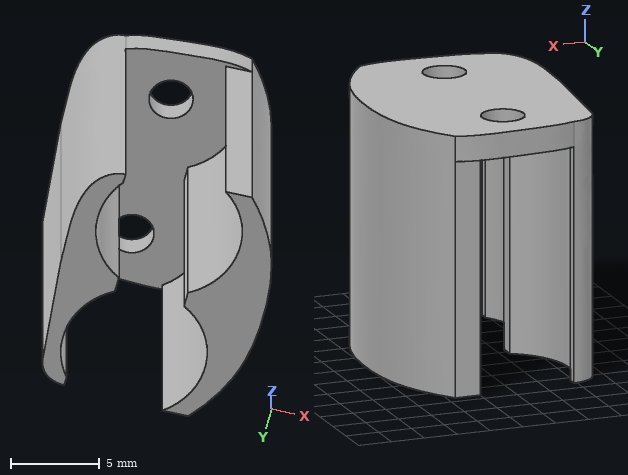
import cadquery as cq

height = 15.5
length = 15.42
width = 12.1
half_width = width / 2

plate_thickness = 1.5
leg_height = height - plate_thickness
leg_end = 7.42

center_x = -0.5
cavity_radius = 4.15
cavity_offset = 4.09
neck_width = 4.03
opening_left = -3.8
wall_tip_y = 7.16

hole_diameter = 2.5
hole_offset = 4.55

corner_x, corner_y = 3.52, leg_end
crown_x, crown_y = 1.47, length / 2
flat_top = (-5.4, 5.89)
flat_bottom = (-5.97, -0.62)


def end_arch(side):
    """Points of one arched end, from the sharp corner to the edge of the opening."""
    points = [
        (corner_x, corner_y),
        (2.77, 7.61),
        (crown_x, crown_y),
        (-0.46, 7.63),
        (-2.31, 7.49),
        (-3.02, 7.38),
        (opening_left, wall_tip_y),
    ]
    return [(x, side * y) for x, y in points]


def outline():
    """Closed profile: bulged +X side, gently arched ends, slightly leaning -X side."""
    upper_bulge = [(4.62, 5.89), (5.53, 3.88)]
    lower_bulge = [(x, -y) for x, y in reversed(upper_bulge)]
    bulge = upper_bulge + [(half_width, 0)] + lower_bulge + [(corner_x, -corner_y)]
    lower_corner = [(-4.55, -6.98), (-5.41, -6.2), (-5.77, -5.42), (-half_width, -3.41), flat_bottom]
    upper_corner = [(-5.27, 6.3), (-5.0, 6.68), (-4.62, 6.96), (opening_left, wall_tip_y)]
    upper_end = end_arch(1)[-2::-1]
    return (
        cq.Workplane("XY")
        .moveTo(corner_x, corner_y)
        .spline(bulge, includeCurrent=True)
        .spline(end_arch(-1)[1:], includeCurrent=True)
        .spline(lower_corner, includeCurrent=True)
        .lineTo(*flat_top)
        .spline(upper_corner, includeCurrent=True)
        .spline(upper_end, includeCurrent=True)
        .close()
    )


def box_below_plate(x_min, x_max, y_min, y_max):
    """Block from the base up to the underside of the plate."""
    return cq.Workplane("XY").box(
        x_max - x_min, y_max - y_min, leg_height, centered=False
    ).translate((x_min, y_min, 0))


def cavity():
    """Everything removed between the two legs."""
    space = box_below_plate(
        center_x - neck_width / 2, center_x + neck_width / 2, -cavity_offset, cavity_offset
    )
    for side in (-1, 1):
        bore = (
            cq.Workplane("XY")
            .center(center_x, side * cavity_offset)
            .circle(cavity_radius)
            .extrude(leg_height)
        )
        y_min, y_max = sorted((side * cavity_offset, side * length))
        opening = box_below_plate(opening_left, center_x, y_min, y_max)
        space = space.union(bore).union(opening)
    return space


def leg_end_trim(side):
    """Sets one end face of the leg back from the arched edge of the plate."""
    y_min, y_max = sorted((side * leg_end, side * length))
    return box_below_plate(-half_width, half_width, y_min, y_max)


def screw_holes():
    return (
        cq.Workplane("XY")
        .pushPoints([(center_x, -hole_offset), (center_x, hole_offset)])
        .circle(hole_diameter / 2)
        .extrude(height)
    )


body = outline().extrude(height).cut(cavity())
for end in (-1, 1):
    body = body.cut(leg_end_trim(end))

result = body.cut(screw_holes())